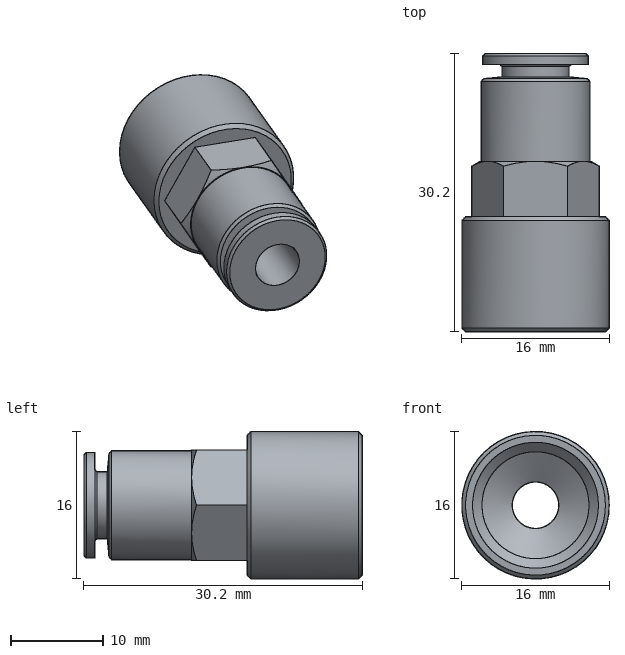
import cadquery as cq
import math

total_length = 30.2

body_radius = 8.0
body_length = 12.5
body_chamfer = 0.42

hex_across_flats = 12.0
hex_end = 18.5
hex_corner_radius = hex_across_flats / 2 / math.cos(math.pi / 6)
hex_chamfer_radius = hex_across_flats / 2
hex_chamfer_angle = math.radians(30)

sleeve_radius = 5.92
sleeve_end = 27.48
sleeve_chamfer = 0.3
sleeve_crown_height = 0.18

neck_radius = 3.65
neck_root_chamfer = 0.2
ring_radius = 5.75
ring_thickness = 1.2
ring_chamfer = 0.27

mouth_radius = 6.83
socket_radius = 5.8
mouth_chamfer = mouth_radius - socket_radius
socket_depth = 10.87
hole_radius = 2.5
drill_half_angle = math.radians(59)


def turned(profile):
    """Revolve a (radius, Y) profile about the Y axis."""
    return cq.Workplane("XY").polyline(profile).close().revolve(360, (0, 0), (0, 1))


def make_body():
    return turned([
        (0, 0),
        (body_radius - body_chamfer, 0),
        (body_radius, body_chamfer),
        (body_radius, body_length - body_chamfer),
        (body_radius - body_chamfer, body_length),
        (0, body_length),
    ])


def make_hexagon():
    corner_drop = (hex_corner_radius - hex_chamfer_radius) * math.tan(hex_chamfer_angle)
    prism = (
        cq.Workplane("XZ", origin=(0, body_length, 0))
        .polygon(6, 2 * hex_corner_radius)
        .extrude(body_length - hex_end)
    )
    chamfered_round = turned([
        (0, body_length),
        (hex_corner_radius, body_length),
        (hex_corner_radius, hex_end - corner_drop),
        (hex_chamfer_radius, hex_end),
        (0, hex_end),
    ])
    return prism.intersect(chamfered_round)


def make_sleeve_and_ring():
    ring_start = total_length - ring_thickness
    return turned([
        (0, body_length),
        (sleeve_radius, body_length),
        (sleeve_radius, sleeve_end - sleeve_chamfer),
        (sleeve_radius - sleeve_chamfer, sleeve_end),
        (neck_radius, sleeve_end + sleeve_crown_height),
        (neck_radius, ring_start - neck_root_chamfer),
        (neck_radius + neck_root_chamfer, ring_start),
        (ring_radius, ring_start),
        (ring_radius, total_length - ring_chamfer),
        (ring_radius - ring_chamfer, total_length),
        (0, total_length),
    ])


def make_bore():
    cone_depth = (socket_radius - hole_radius) / math.tan(drill_half_angle)
    return turned([
        (0, 0),
        (mouth_radius, 0),
        (socket_radius, mouth_chamfer),
        (socket_radius, socket_depth),
        (hole_radius, socket_depth + cone_depth),
        (hole_radius, total_length),
        (0, total_length),
    ])


result = make_body().union(make_hexagon()).union(make_sleeve_and_ring()).cut(make_bore())